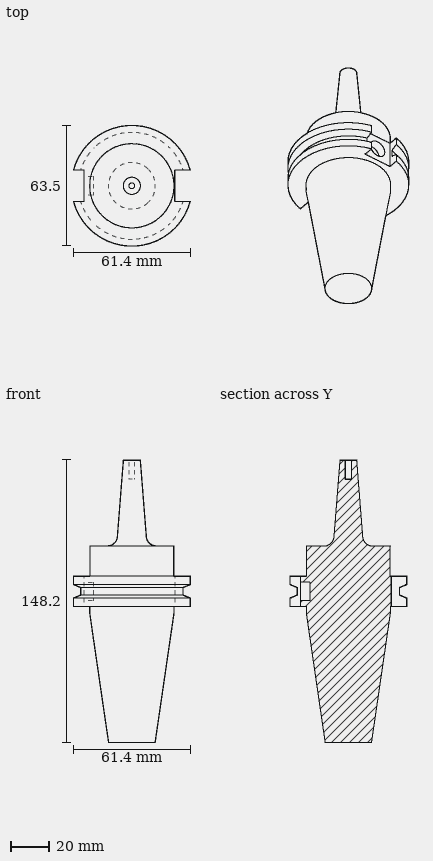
import cadquery as cq
import math


gauge_diameter = 44.45
taper_length = 68.25
taper_ratio = 7 / 24
taper_end_diameter = gauge_diameter - taper_length * taper_ratio

flange_diameter = 63.5
flange_bottom = 3.1
flange_thickness = 16.0
flange_top = flange_bottom + flange_thickness
flange_middle = flange_bottom + flange_thickness / 2
groove_floor_diameter = 56.25
groove_floor_width = 3.9
groove_mouth_width = 7.0

slot_width = 16.38
shallow_slot_floor = 25.2
deep_slot_floor = 22.6

pocket_diameter = 9.5
pocket_depth = 5.0

body_diameter = 44.2
body_top = 35.0
nose_top = 80.0
nose_tip_diameter = 9.0
nose_half_angle = math.radians(4.5)
nose_fillet_radius = 5.0

bore_diameter = 3.0
bore_depth = 10.0


def make_turned_body():
    """Revolve the half profile, from the small end of the taper up to the nose tip."""
    flange_radius = flange_diameter / 2
    groove_radius = groove_floor_diameter / 2
    half_mouth = groove_mouth_width / 2
    half_floor = groove_floor_width / 2

    fillet_start_height = body_top + nose_fillet_radius * (1 - math.sin(nose_half_angle))
    nose_length = nose_top - fillet_start_height
    nose_base_radius = nose_tip_diameter / 2 + nose_length * math.tan(nose_half_angle)
    fillet_center_radius = nose_base_radius + nose_fillet_radius * math.cos(nose_half_angle)
    fillet_center_height = body_top + nose_fillet_radius
    middle_angle = (math.pi / 2 - nose_half_angle) / 2
    fillet_middle = (
        fillet_center_radius - nose_fillet_radius * math.sin(middle_angle),
        fillet_center_height - nose_fillet_radius * math.cos(middle_angle),
    )

    profile = (
        cq.Workplane("XZ")
        .moveTo(0, -taper_length)
        .lineTo(taper_end_diameter / 2, -taper_length)
        .lineTo(gauge_diameter / 2, 0)
        .lineTo(gauge_diameter / 2, flange_bottom)
        .lineTo(flange_radius, flange_bottom)
        .lineTo(flange_radius, flange_middle - half_mouth)
        .lineTo(groove_radius, flange_middle - half_floor)
        .lineTo(groove_radius, flange_middle + half_floor)
        .lineTo(flange_radius, flange_middle + half_mouth)
        .lineTo(flange_radius, flange_top)
        .lineTo(body_diameter / 2, flange_top)
        .lineTo(body_diameter / 2, body_top)
        .lineTo(fillet_center_radius, body_top)
        .threePointArc(fillet_middle, (nose_base_radius, fillet_start_height))
        .lineTo(nose_tip_diameter / 2, nose_top)
        .lineTo(0, nose_top)
        .close()
    )
    return profile.revolve(360, (0, 0, 0), (0, 1, 0))


def make_slot_cutter(side, floor_distance):
    """Block that clears one drive slot; side is -1 for -X and +1 for +X."""
    return (
        cq.Workplane("XY", origin=(0, 0, flange_bottom))
        .center(side * (floor_distance + flange_diameter / 2), 0)
        .rect(flange_diameter, slot_width)
        .extrude(flange_thickness)
    )


def make_pocket_cutter():
    """Cylinder running inward along +X from the floor of the shallow slot."""
    return (
        cq.Workplane("YZ", origin=(-shallow_slot_floor, 0, flange_middle))
        .circle(pocket_diameter / 2)
        .extrude(pocket_depth)
    )


def make_bore_cutter():
    """Cylinder running down from the nose tip."""
    return (
        cq.Workplane("XY", origin=(0, 0, nose_top))
        .circle(bore_diameter / 2)
        .extrude(-bore_depth)
    )


result = (
    make_turned_body()
    .cut(make_slot_cutter(-1, shallow_slot_floor))
    .cut(make_slot_cutter(1, deep_slot_floor))
    .cut(make_pocket_cutter())
    .cut(make_bore_cutter())
)